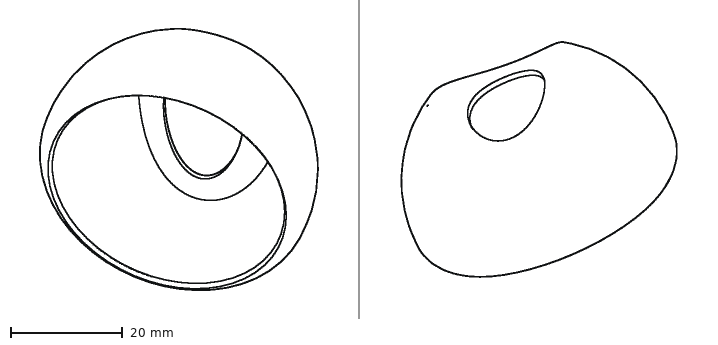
import cadquery as cq
import math

sphere_radius = 25.05
sphere_center_y = 6.5
wall = 1.0

rim_radius = 6.25
rim_joint_y = 4.8

saddle_radius = 17.55
saddle_bottom_y = 21.95
saddle_edge_fillet = 0.65

hole_width = 14.85
hole_height = 28.55

joint_angle = math.asin((rim_joint_y - sphere_center_y) / sphere_radius)
rim_center_offset = sphere_radius - rim_radius
rim_center_x = rim_center_offset * math.cos(joint_angle)
rim_center_y = sphere_center_y + rim_center_offset * math.sin(joint_angle)
mouth_angle = -math.asin(rim_center_y / rim_radius)
saddle_axis_y = saddle_bottom_y + saddle_radius
cylinder_length = 3 * sphere_radius


def sphere_point(inset, angle):
    radius = sphere_radius - inset
    return (radius * math.cos(angle), sphere_center_y + radius * math.sin(angle))


def rim_point(inset, angle):
    radius = rim_radius - inset
    return (rim_center_x + radius * math.cos(angle), rim_center_y + radius * math.sin(angle))


def dome(inset):
    """Solid dome with its curled rim, inset from the outer surface."""
    middle_rim_angle = (joint_angle + mouth_angle) / 2
    middle_dome_angle = (joint_angle + math.pi / 2) / 2
    mouth = rim_point(inset, mouth_angle)
    return (
        cq.Workplane("XY")
        .moveTo(0, mouth[1])
        .lineTo(*mouth)
        .threePointArc(rim_point(inset, middle_rim_angle), sphere_point(inset, joint_angle))
        .threePointArc(sphere_point(inset, middle_dome_angle), sphere_point(inset, math.pi / 2))
        .close()
        .revolve(360, (0, 0, 0), (0, 1, 0))
    )


def saddle_cylinder(radius):
    return (
        cq.Workplane("XY")
        .center(0, saddle_axis_y)
        .circle(radius)
        .extrude(cylinder_length / 2, both=True)
    )


def mouth_cone():
    """Sloped end face of the rim, square to the wall."""
    outer_x, outer_y = rim_point(0, mouth_angle)
    inner_x, inner_y = rim_point(wall, mouth_angle)
    return (
        cq.Workplane("XY")
        .polyline([(0, outer_y), (outer_x, outer_y), (inner_x, inner_y), (0, inner_y)])
        .close()
        .revolve(360, (0, 0, 0), (0, 1, 0))
    )


body = dome(0).cut(saddle_cylinder(saddle_radius))
saddle_edge = body.faces(cq.selectors.NearestToPointSelector((0, saddle_bottom_y, 0))).edges()
body = body.newObject(saddle_edge.vals()).fillet(saddle_edge_fillet)

cavity = dome(wall).cut(saddle_cylinder(saddle_radius + wall))

hole = (
    cq.Workplane("XZ")
    .ellipse(hole_width / 2, hole_height / 2)
    .extrude(-saddle_axis_y)
)

result = body.cut(cavity).cut(mouth_cone()).cut(hole)